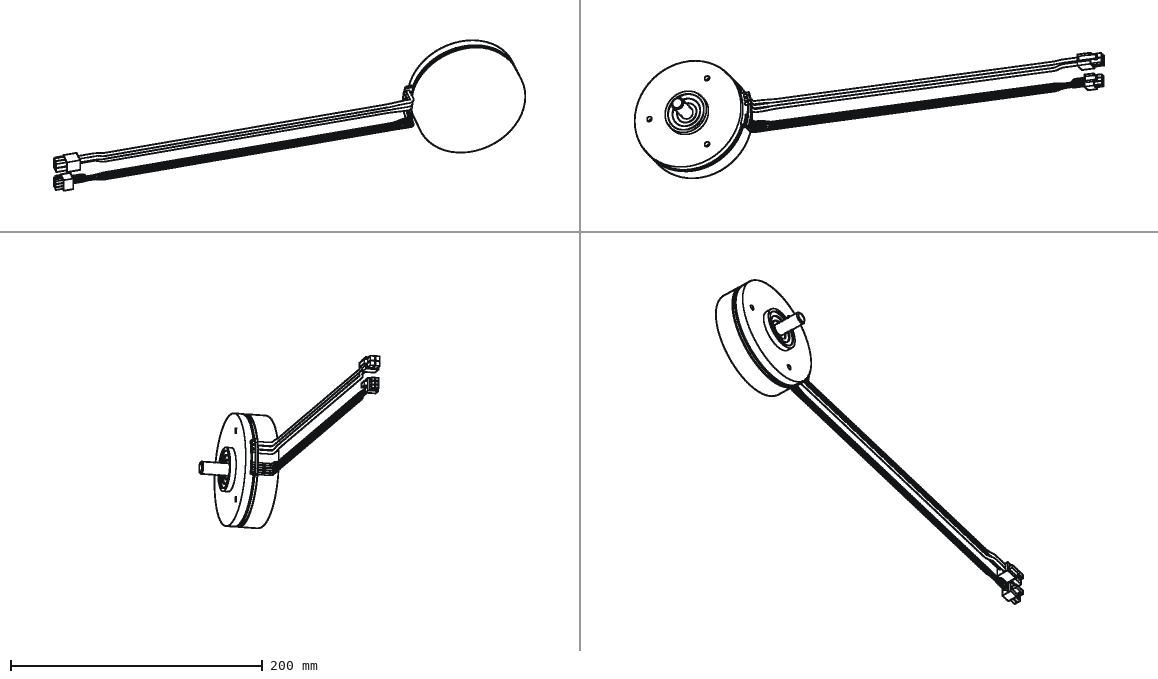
import cadquery as cq
import math


motor_radius = 45.0
shaft_radius = 5.0
shaft_tip_x = -24.5
shaft_tip_chamfer = 1.0

hub_radius = 17.5
hub_height = 4.7
hub_recess_radii = (15.2, 11.7, 8.2)
hub_recess_step = 1.0

flange_thickness = 8.2
flange_lip_width = 1.2
flange_lip_depth = 0.3
mount_hole_count = 3
mount_hole_diameter = 4.0
mount_hole_depth = 5.0
mount_circle_radius = 32.5

gap_floor_radius = 43.8
rotor_front_x = 10.5
rotor_rear_x = 28.0
rotor_rear_fillet = 2.2

collar_radius = 51.0
collar_half_width = 14.5
collar_rear_x = 8.6
collar_lip_front_x = 4.4
collar_lip_rear_x = 6.7
collar_lip_radius = 49.0
collar_lip_half_width = 13.4

cable_end_y = -343.0
wire_x = 21.3
wire_run_radius = 48.2
wire_bend_radius = 2.4
wire_fan_start_y = -52.0
wire_straight_end_y = -301.0
wire_overlap = 0.05
wire_plug_in = 1.0

power_wire_diameter = 2.75
power_center_z = 7.4
power_exit_pitch = 3.5
power_fan_end_y = -69.5
power_spread_y = -311.0
power_plug_rear_y = -323.5
power_plug_shoulder_y = -334.5
power_plug_z = 7.8
power_plug_front_x = 16.0
power_plug_rear_x = 26.5
power_plug_height = 9.6
power_pitch = 4.2
power_pole_size = 3.7
power_cavities = ((-1, 1), (1, 1), (-1, -1))

hall_wire_diameter = 1.42
hall_center_z = -10.8
hall_exit_center_z = -9.8
hall_exit_pitch = 1.95
hall_fan_end_y = -64.5
hall_waist_start_y = -312.0
hall_waist_end_y = -316.0
hall_spread_y = -320.5
hall_plug_rear_y = -329.0
hall_plug_shoulder_y = -337.0
hall_plug_z = -10.2
hall_plug_front_x = 17.0
hall_plug_rear_x = 25.5
hall_plug_height = 10.4
hall_pitch = 3.0
hall_pole_size = 2.5
hall_cavities = ((-0.5, 1), (0.5, 1), (-0.5, 0), (0.5, 0), (-0.5, -1))

latch_front_x = 13.2
latch_arm_thickness = 1.3
latch_width = 3.6
latch_overhang = 2.8
latch_hook_length = 1.8
latch_hook_reach = 1.4
latch_root_setback = 2.0


def disc(x_start, x_end, radius):
    """Cylinder on the motor axis."""
    return cq.Workplane("YZ", origin=(x_start, 0, 0)).circle(radius).extrude(x_end - x_start)


def block(x_range, y_range, z_range):
    """Axis-aligned box between the given limits."""
    sizes = [abs(high - low) for low, high in (x_range, y_range, z_range)]
    center = [(low + high) / 2 for low, high in (x_range, y_range, z_range)]
    return cq.Workplane("XY").box(*sizes).translate(tuple(center))


def rim_sector(x_start, x_end, inner_radius, outer_radius, z_low, z_high):
    """Part of a ring around the motor axis, on the -Y side and between two Z levels."""
    ring = disc(x_start, x_end, outer_radius).cut(disc(x_start, x_end, inner_radius))
    return ring.intersect(block((x_start, x_end), (-outer_radius, 0), (z_low, z_high)))


def make_flange():
    lip_x = flange_thickness - flange_lip_width
    flange = disc(0, lip_x, motor_radius)
    flange = flange.union(disc(lip_x, flange_thickness, motor_radius - flange_lip_depth))
    flange = flange.union(disc(flange_thickness, rotor_front_x, gap_floor_radius))
    flange = flange.union(disc(-hub_height, 0, hub_radius))
    for level, radius in enumerate(hub_recess_radii, start=1):
        flange = flange.cut(disc(-hub_height, -hub_height + level * hub_recess_step, radius))
    flange = flange.cut(disc(-hub_height, rotor_front_x, shaft_radius))
    holes = (
        cq.Workplane("YZ")
        .polarArray(mount_circle_radius, 0, 360, mount_hole_count)
        .circle(mount_hole_diameter / 2)
        .extrude(mount_hole_depth)
    )
    return flange.cut(holes)


def make_rotor():
    bell = disc(rotor_front_x, rotor_rear_x, motor_radius).faces(">X").edges().fillet(rotor_rear_fillet)
    shaft = disc(shaft_tip_x, rotor_front_x, shaft_radius).faces("<X").chamfer(shaft_tip_chamfer)
    return bell.union(shaft)


def make_collar(cables):
    lip = rim_sector(collar_lip_front_x, collar_lip_rear_x, motor_radius, collar_lip_radius,
                     -collar_lip_half_width, collar_lip_half_width)
    body = rim_sector(collar_lip_rear_x, collar_rear_x, motor_radius, collar_radius,
                      -collar_half_width, collar_half_width)
    collar = lip.union(body)
    for cable in cables:
        collar = collar.cut(cable)
    return collar


def make_wire(exit_z, points, diameter):
    """Round wire from the collar at the given Z, through the points, passing each one along -Y."""
    rearward = cq.Vector(1, 0, 0)
    along = cq.Vector(0, -1, 0)
    start = cq.Vector(collar_lip_front_x, -math.sqrt(wire_run_radius**2 - exit_z**2), exit_z)
    bend_start = cq.Vector(wire_x - wire_bend_radius, start.y, exit_z)
    bend_end = cq.Vector(wire_x, start.y - wire_bend_radius, exit_z)
    stops = [bend_end, cq.Vector(wire_x, wire_fan_start_y, exit_z)]
    stops += [cq.Vector(*point) for point in points]
    edges = [
        cq.Edge.makeLine(start, bend_start),
        cq.Edge.makeTangentArc(bend_start, rearward, bend_end),
    ]
    for low, high in zip(stops, stops[1:]):
        if low.x == high.x and low.z == high.z:
            edges.append(cq.Edge.makeLine(low, high))
        else:
            edges.append(cq.Edge.makeSpline([low, high], tangents=[along, along]))
    path = cq.Workplane(cq.Wire.assembleEdges(edges))
    profile = cq.Workplane(cq.Plane(start, xDir=(0, 1, 0), normal=rearward))
    return profile.circle(diameter / 2).sweep(path)


def make_plug(x_range, center_z, height, rear_y, shoulder_y, pitch, pole_size, rows):
    """Plug housing with two columns of square poles and a latch on its -X side."""
    z_range = (center_z - height / 2, center_z + height / 2)
    plug = block(x_range, (shoulder_y, rear_y), z_range)
    center_x = sum(x_range) / 2
    for column in (-0.5, 0.5):
        for row in range(rows):
            pole_x = center_x + column * pitch
            pole_z = center_z + (row - (rows - 1) / 2) * pitch
            plug = plug.union(block((pole_x - pole_size / 2, pole_x + pole_size / 2),
                                    (cable_end_y, shoulder_y),
                                    (pole_z - pole_size / 2, pole_z + pole_size / 2)))
    latch_z = (center_z - latch_width / 2, center_z + latch_width / 2)
    latch_rear_y = rear_y - latch_root_setback
    latch_end_y = cable_end_y + latch_overhang
    arm_inner_x = latch_front_x + latch_arm_thickness
    root = block((latch_front_x, x_range[0]), (shoulder_y, latch_rear_y), latch_z)
    arm = block((latch_front_x, arm_inner_x), (latch_end_y, latch_rear_y), latch_z)
    hook = block((latch_front_x, arm_inner_x + latch_hook_reach),
                 (latch_end_y, latch_end_y + latch_hook_length), latch_z)
    return plug.union(root).union(arm).union(hook)


def make_power_cable():
    x_range = (power_plug_front_x, power_plug_rear_x)
    cable = make_plug(x_range, power_plug_z, power_plug_height, power_plug_rear_y,
                      power_plug_shoulder_y, power_pitch, power_pole_size, rows=2)
    straight_pitch = power_wire_diameter - wire_overlap
    for index, (column, row) in enumerate(power_cavities):
        position = (len(power_cavities) - 1) / 2 - index
        exit_z = power_center_z + position * power_exit_pitch
        straight_z = power_center_z + position * straight_pitch
        cavity_x = sum(x_range) / 2 + column * power_pitch / 2
        cavity_z = power_plug_z + row * power_pitch / 2
        cable = cable.union(make_wire(exit_z, [
            (wire_x, power_fan_end_y, straight_z),
            (wire_x, wire_straight_end_y, straight_z),
            (cavity_x, power_spread_y, cavity_z),
            (cavity_x, power_plug_rear_y - wire_plug_in, cavity_z),
        ], power_wire_diameter))
    return cable


def make_hall_cable():
    x_range = (hall_plug_front_x, hall_plug_rear_x)
    cable = make_plug(x_range, hall_plug_z, hall_plug_height, hall_plug_rear_y,
                      hall_plug_shoulder_y, hall_pitch, hall_pole_size, rows=3)
    straight_pitch = hall_wire_diameter - wire_overlap
    for index, (column, row) in enumerate(hall_cavities):
        position = (len(hall_cavities) - 1) / 2 - index
        exit_z = hall_exit_center_z + position * hall_exit_pitch
        straight_z = hall_center_z + position * straight_pitch
        waist_x = wire_x + column * straight_pitch
        waist_z = hall_center_z + row * straight_pitch
        cavity_x = sum(x_range) / 2 + column * hall_pitch
        cavity_z = hall_plug_z + row * hall_pitch
        cable = cable.union(make_wire(exit_z, [
            (wire_x, hall_fan_end_y, straight_z),
            (wire_x, wire_straight_end_y, straight_z),
            (waist_x, hall_waist_start_y, waist_z),
            (waist_x, hall_waist_end_y, waist_z),
            (cavity_x, hall_spread_y, cavity_z),
            (cavity_x, hall_plug_rear_y - wire_plug_in, cavity_z),
        ], hall_wire_diameter))
    return cable


flange = make_flange()
rotor = make_rotor()
power_cable = make_power_cable()
hall_cable = make_hall_cable()
collar = make_collar((power_cable, hall_cable))

result = cq.Compound.makeCompound([
    *flange.solids().vals(),
    *rotor.solids().vals(),
    *collar.solids().vals(),
    *power_cable.solids().vals(),
    *hall_cable.solids().vals(),
])